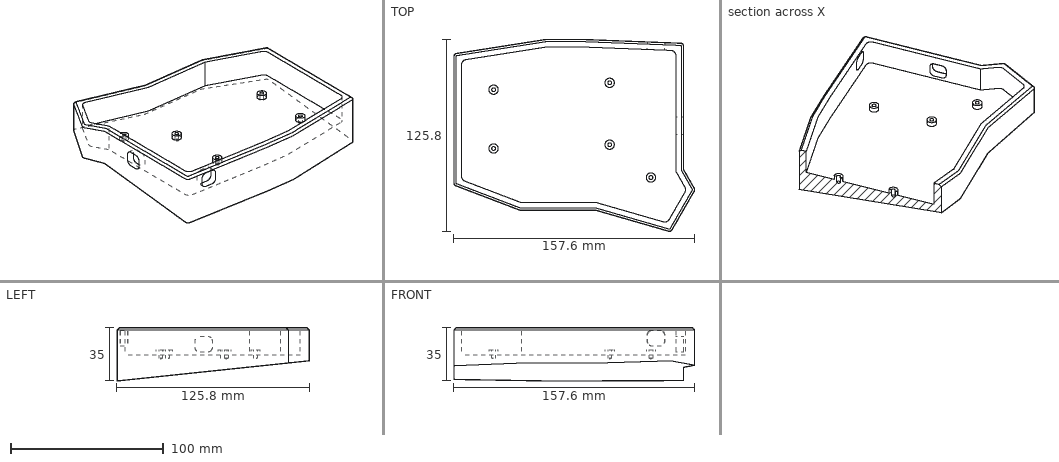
import cadquery as cq
import math

height = 35.0
bottom_tilt = 6.0
wall = 5.0
cavity_depth = 18.0
floor_z = height - cavity_depth
outer_corner_radius = 2.0
inner_corner_radius = 3.5
rim_chamfer = 1.5

left_x = 0.0
right_x = 150.4
front_y = 13.8
rear_y = 125.8
left_rear = (left_x, 116.3)
rear_wall_start = (83.1, rear_y)
right_rear = (right_x, 123.2)
thumb_tip = (157.95, 27.3)
thumb_front = (142.05, -0.353)
left_front = (left_x, 30.3)
outline = [
    left_rear,
    (60.6, rear_y),
    rear_wall_start,
    right_rear,
    (right_x, 40.6),
    thumb_tip,
    thumb_front,
    (92.9, front_y),
    (43.3, front_y),
    left_front,
]
rounded_cavity_corners = [left_rear, right_rear, thumb_tip, thumb_front, left_front]

standoff_diameter = 6.1
standoff_height = 3.2
screw_hole_diameter = 2.5
screw_hole_depth = 5.0
drill_point_angle = 118.0
left_standoff_x = 26.0
right_standoff_x = 102.0
standoff_centers = [
    (left_standoff_x, 92.8),
    (left_standoff_x, 54.3),
    (right_standoff_x, 97.3),
    (right_standoff_x, 56.8),
    (129.0, 35.3),
]

opening_width = 11.5
opening_height = 10.25
opening_corner_radius = 3.25
rear_opening_x = 132.3
rear_opening_z = 28.1
side_opening_y = 69.2
side_opening_z = 24.15

cut_margin = 10.0


def make_body():
    """Block with rounded corners and a chamfered rim, cut underneath along the tilted plane."""
    block = cq.Workplane("XY").polyline(outline).close().extrude(height)
    block = block.edges("|Z").fillet(outer_corner_radius)
    block = block.faces(">Z").edges().chamfer(rim_chamfer)
    cut_front_y = -cut_margin
    cut_front_z = (rear_y - cut_front_y) * math.tan(math.radians(bottom_tilt))
    wedge = (
        cq.Workplane("YZ", origin=(left_x - cut_margin, 0, 0))
        .polyline([(rear_y, 0), (cut_front_y, cut_front_z), (cut_front_y, 0)])
        .close()
        .extrude(thumb_tip[0] - left_x + 2 * cut_margin)
    )
    return block.cut(wedge)


def make_cavity():
    """Flat-floored pocket that leaves an even wall all round."""
    cavity = (
        cq.Workplane("XY", origin=(0, 0, floor_z))
        .polyline(outline)
        .close()
        .offset2D(-wall, "intersection")
        .extrude(cavity_depth)
    )
    reach = 2 * wall
    for x, y in rounded_cavity_corners:
        near_corner = cq.selectors.BoxSelector(
            (x - reach, y - reach, floor_z),
            (x + reach, y + reach, height),
        )
        cavity = cavity.edges("|Z").edges(near_corner).fillet(inner_corner_radius)
    return cavity


def make_standoff(center):
    """Round post standing on the cavity floor."""
    return (
        cq.Workplane("XY", origin=(*center, floor_z))
        .circle(standoff_diameter / 2)
        .extrude(standoff_height)
    )


def make_screw_hole(center):
    """Blind drilled hole with a conical end, entering from the standoff top."""
    radius = screw_hole_diameter / 2
    point_length = radius / math.tan(math.radians(drill_point_angle / 2))
    return (
        cq.Workplane("XZ", origin=(*center, floor_z + standoff_height))
        .polyline([
            (0, 0),
            (radius, 0),
            (radius, -screw_hole_depth),
            (0, -screw_hole_depth - point_length),
        ])
        .close()
        .revolve(360, (0, 0), (0, 1))
    )


def make_opening(center, along_wall, outward):
    """Rounded rectangular cutter through a wall, centred at mid-thickness."""
    plane = cq.Plane(origin=center, xDir=along_wall, normal=outward)
    return (
        cq.Workplane(plane)
        .rect(opening_width, opening_height)
        .extrude(wall / 2 + cut_margin, both=True)
        .edges(cq.selectors.ParallelDirSelector(plane.zDir))
        .fillet(opening_corner_radius)
    )


def make_rear_opening():
    """Opening square to the slightly slanted rear wall."""
    run_x = right_rear[0] - rear_wall_start[0]
    run_y = right_rear[1] - rear_wall_start[1]
    outer_y = rear_wall_start[1] + (rear_opening_x - rear_wall_start[0]) * run_y / run_x
    center = (rear_opening_x, outer_y - wall / 2, rear_opening_z)
    return make_opening(center, (run_x, run_y, 0), (-run_y, run_x, 0))


def make_side_opening():
    """Opening through the straight right wall."""
    center = (right_x - wall / 2, side_opening_y, side_opening_z)
    return make_opening(center, (0, 1, 0), (1, 0, 0))


result = make_body().cut(make_cavity())
for standoff_center in standoff_centers:
    result = result.union(make_standoff(standoff_center))
    result = result.cut(make_screw_hole(standoff_center))
result = result.cut(make_rear_opening())
result = result.cut(make_side_opening())